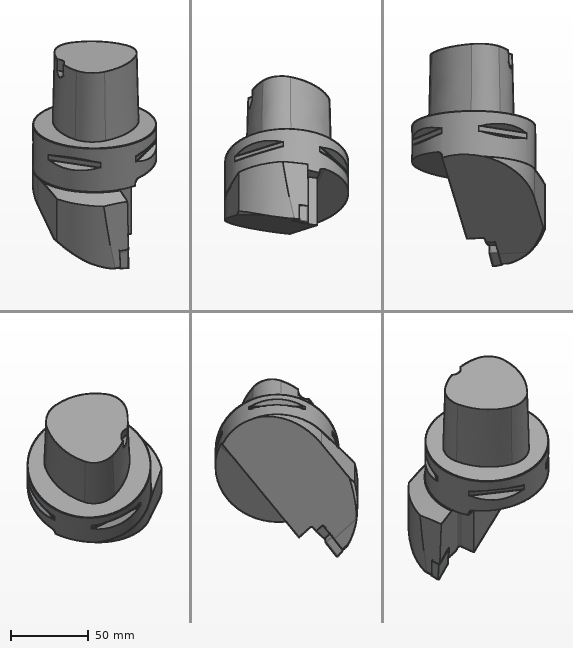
import cadquery as cq
import math


SHANK_HEIGHT = 48.0
LOBE_RADIUS = 17.2
LOBE_OFFSET = 12.4
FLAT_DISTANCE = 25.7
SHANK_TAPER = math.degrees(math.atan(1 / 40))

NOTCH_RADIUS = 6.1
NOTCH_AXIS_Y = -28.0
NOTCH_DEPTH = 8.0

FLANGE_RADIUS = 80.0 / 2
FLANGE_HEIGHT = 30.5
FLANGE_CHAMFER = 0.4
GROOVE_FLOOR_DISTANCE = 35.6
GROOVE_FLOOR_HEIGHT = 3.6
GROOVE_Z = -11.9
GROOVE_FLARE_DISTANCE = 36.1
GROOVE_FLARE_ANGLE = 33
GROOVE_COUNT = 4
FIRST_GROOVE_ANGLE = 45

BACK_Y = 12.0
BACK_FILLET = 3.6
RELIEF_EDGE_Z = -23.8
RELIEF_ANGLE = 4.5

HEAD_RADIUS = 40.2
HEAD_ROOT_Z = -25.6
SHOULDER_STEP = 0.5
SHOULDER_ANGLE = 15
SIDE_FLAT_END_X = 30.8
SIDE_ARC_MIDDLE = (46.5, -26.4)
SIDE_ARC_END = (55.3, -5.1)
RAKE_Y = 0.4
GULLET_X = 32
GULLET_FILLET = 1.3
BOTTOM_Z = -49.9
BOTTOM_ANGLE = 27.5
NOSE_START_X = 46.1
NOSE_Z = -78.7
END_ANGLE = 3
END_TOP = (52.1, -34.4)
HEEL_START = (-HEAD_RADIUS, -63.5)
HEEL_MIDDLE = (-26.4, -74.0)
HEEL_END = (-12.8, NOSE_Z)

OVERALL_X = 95.0
TIP_X = OVERALL_X - FLANGE_RADIUS
TIP_Z = -80.0
INSERT_ANGLE = 55
INSERT_EDGE = 13.2
INSERT_CORNER_RADIUS = 0.8
INSERT_THICKNESS = 5.8
INSERT_LAND = 0.9
INSERT_RELIEF = 7
POCKET_MOUTH_Z = -68.6

OVERCUT = 1.3
FAR = 102.4


def polar(radius, angle):
    """Plane point at a distance and an angle in degrees."""
    return (radius * math.cos(math.radians(angle)), radius * math.sin(math.radians(angle)))


def plus(first, second):
    return (first[0] + second[0], first[1] + second[1])


def slope(angle):
    return math.tan(math.radians(angle))


def make_shank():
    step = FLAT_DISTANCE - LOBE_RADIUS
    flat_offset = (LOBE_OFFSET**2 - step**2) / (2 * step - LOBE_OFFSET)
    joint_angle = math.degrees(math.atan2(
        flat_offset * math.sin(math.pi / 3), LOBE_OFFSET + flat_offset * math.cos(math.pi / 3)))

    def joint(lobe_axis, side):
        centre = polar(LOBE_OFFSET, lobe_axis)
        return plus(centre, polar(LOBE_RADIUS, lobe_axis + side * joint_angle))

    outline = cq.Workplane("XY").moveTo(*joint(90, -1))
    for lobe_axis in (90, 210, 330):
        lobe_tip = polar(LOBE_OFFSET + LOBE_RADIUS, lobe_axis)
        flat_middle = polar(FLAT_DISTANCE, lobe_axis + 60)
        outline = outline.threePointArc(lobe_tip, joint(lobe_axis, 1))
        outline = outline.threePointArc(flat_middle, joint(lobe_axis + 120, -1))
    return outline.close().extrude(SHANK_HEIGHT, taper=SHANK_TAPER)


def make_notch():
    floor_z = SHANK_HEIGHT - NOTCH_DEPTH
    return (
        cq.Workplane("XZ", origin=(0, NOTCH_AXIS_Y, 0))
        .polyline([
            (0, SHANK_HEIGHT + OVERCUT),
            (NOTCH_RADIUS, SHANK_HEIGHT + OVERCUT),
            (NOTCH_RADIUS, floor_z),
            (0, floor_z - NOTCH_RADIUS),
        ])
        .close()
        .revolve(360, (0, 0, 0), (0, 1, 0))
    )


def make_flange():
    flange = cq.Workplane("XY").circle(FLANGE_RADIUS).extrude(-FLANGE_HEIGHT)
    flange = flange.faces(">Z").edges().chamfer(FLANGE_CHAMFER)
    outside = FLANGE_RADIUS + OVERCUT
    inner_half = GROOVE_FLOOR_HEIGHT / 2
    outer_half = inner_half + (outside - GROOVE_FLARE_DISTANCE) * slope(GROOVE_FLARE_ANGLE)
    groove = (
        cq.Workplane("XZ")
        .polyline([
            (GROOVE_FLOOR_DISTANCE, GROOVE_Z - inner_half),
            (GROOVE_FLOOR_DISTANCE, GROOVE_Z + inner_half),
            (GROOVE_FLARE_DISTANCE, GROOVE_Z + inner_half),
            (outside, GROOVE_Z + outer_half),
            (outside, GROOVE_Z - outer_half),
            (GROOVE_FLARE_DISTANCE, GROOVE_Z - inner_half),
        ])
        .close()
        .extrude(FLANGE_RADIUS, both=True)
    )
    for index in range(GROOVE_COUNT):
        angle = FIRST_GROOVE_ANGLE + index * 360 / GROOVE_COUNT
        flange = flange.cut(groove.rotate((0, 0, 0), (0, 0, 1), angle))
    return flange


def make_head_blank():
    """Vertical prism of the head, under its conical shoulder."""
    back_left = (-math.sqrt(HEAD_RADIUS**2 - BACK_Y**2), BACK_Y)
    prism = (
        cq.Workplane("XY", origin=(0, 0, -FAR))
        .moveTo(*back_left)
        .threePointArc(polar(HEAD_RADIUS, 225), (0, -HEAD_RADIUS))
        .lineTo(SIDE_FLAT_END_X, -HEAD_RADIUS)
        .threePointArc(SIDE_ARC_MIDDLE, SIDE_ARC_END)
        .lineTo(SIDE_ARC_END[0], RAKE_Y)
        .lineTo(GULLET_X, RAKE_Y)
        .lineTo(GULLET_X, BACK_Y)
        .close()
        .extrude(FAR + HEAD_ROOT_Z)
    )
    gullet_corner = cq.selectors.NearestToPointSelector((GULLET_X, RAKE_Y, -FAR / 2))
    prism = prism.edges("|Z").edges(gullet_corner).fillet(GULLET_FILLET)

    shoulder_radius = FLANGE_RADIUS + SHOULDER_STEP
    shoulder_z = -FLANGE_HEIGHT - SHOULDER_STEP
    envelope = (
        cq.Workplane("XZ")
        .polyline([
            (0, HEAD_ROOT_Z),
            (FLANGE_RADIUS, HEAD_ROOT_Z),
            (FLANGE_RADIUS, -FLANGE_HEIGHT),
            (shoulder_radius, shoulder_z),
            (FAR, shoulder_z - (FAR - shoulder_radius) * slope(SHOULDER_ANGLE)),
            (FAR, -FAR),
            (0, -FAR),
        ])
        .close()
        .revolve(360, (0, 0, 0), (0, 1, 0))
    )
    return prism.intersect(envelope)


def make_side_trim():
    """Profile along Y that bounds the head by its sloping bottom and its end face."""
    nose_start_z = BOTTOM_Z - NOSE_START_X * slope(BOTTOM_ANGLE)
    nose_angle = 90 - END_ANGLE - INSERT_ANGLE
    nose_end_x = NOSE_START_X + (nose_start_z - NOSE_Z) / slope(nose_angle)

    def end_x(z):
        return END_TOP[0] + (END_TOP[1] - z) * slope(END_ANGLE)

    return (
        cq.Workplane("XZ")
        .polyline([
            (-FAR, BOTTOM_Z + FAR * slope(BOTTOM_ANGLE)),
            (NOSE_START_X, nose_start_z),
            (nose_end_x, NOSE_Z),
            (end_x(NOSE_Z), NOSE_Z),
            (end_x(SHANK_HEIGHT), SHANK_HEIGHT),
            (-FAR, FAR),
        ])
        .close()
        .extrude(FAR, both=True)
    )


def make_heel_cut():
    return (
        cq.Workplane("YZ", origin=(-FAR, 0, 0))
        .moveTo(*HEEL_START)
        .threePointArc(HEEL_MIDDLE, HEEL_END)
        .lineTo(HEEL_END[0], -FAR)
        .lineTo(-FAR, -FAR)
        .lineTo(-FAR, HEEL_START[1])
        .close()
        .extrude(2 * FAR)
    )


def make_back_relief():
    def relief_z(y):
        return RELIEF_EDGE_Z - (FLANGE_RADIUS - y) * slope(RELIEF_ANGLE)

    relief = (
        cq.Workplane("YZ", origin=(-FAR, 0, 0))
        .polyline([(BACK_Y, -FAR), (BACK_Y, relief_z(BACK_Y)), (FAR, relief_z(FAR)), (FAR, -FAR)])
        .close()
        .extrude(2 * FAR)
    )
    corner = cq.selectors.NearestToPointSelector((0, BACK_Y, relief_z(BACK_Y)))
    return relief.edges("|X").edges(corner).fillet(BACK_FILLET)


def insert_corners(inset):
    """Rhombus corners in X and Z from the tip round, moved inwards by the inset."""
    half_angle = math.radians(INSERT_ANGLE / 2)
    side = INSERT_EDGE - inset * (1 / math.tan(half_angle) + math.tan(half_angle))
    end_edge = 90 + END_ANGLE
    bottom_edge = end_edge + INSERT_ANGLE
    tip_arc_centre = (TIP_X - INSERT_CORNER_RADIUS, TIP_Z + INSERT_CORNER_RADIUS)
    to_tip = (INSERT_CORNER_RADIUS - inset) / math.sin(half_angle)
    tip = plus(tip_arc_centre, polar(to_tip, end_edge + INSERT_ANGLE / 2 + 180))
    upper = plus(tip, polar(side, end_edge))
    lower = plus(tip, polar(side, bottom_edge))
    return [tip, upper, plus(upper, polar(side, bottom_edge)), lower]


def make_insert():
    def insert_layer(top_y, thickness, relief):
        return (
            cq.Workplane("XZ", origin=(0, top_y, 0))
            .polyline(insert_corners(INSERT_CORNER_RADIUS))
            .close()
            .offset2D(INSERT_CORNER_RADIUS)
            .extrude(thickness, taper=relief)
        )

    land = insert_layer(0, INSERT_LAND, 0)
    relieved = insert_layer(-INSERT_LAND, INSERT_THICKNESS - INSERT_LAND, INSERT_RELIEF)
    return land.union(relieved)


def make_pocket():
    """Recess with two walls along the insert's inner sides, open to the bottom and the end."""
    _, upper, inner, lower = insert_corners(0)
    upper_outside = plus(upper, polar(FAR, END_ANGLE + INSERT_ANGLE + 270))
    mouth_x = lower[0] - (POCKET_MOUTH_Z - lower[1]) * slope(END_ANGLE)
    return (
        cq.Workplane("XZ", origin=(0, OVERCUT, 0))
        .polyline([
            inner,
            upper_outside,
            (0, -2 * FAR),
            (0, POCKET_MOUTH_Z),
            (mouth_x, POCKET_MOUTH_Z),
        ])
        .close()
        .extrude(INSERT_THICKNESS + OVERCUT)
    )


def make_holder():
    head = make_head_blank().intersect(make_side_trim()).cut(make_heel_cut()).cut(make_pocket())
    body = make_flange().intersect(make_side_trim()).union(head).cut(make_back_relief())
    return body.union(make_shank().cut(make_notch()))


holder = make_holder()
insert = make_insert()

result = cq.Compound.makeCompound([holder.val(), insert.val()])